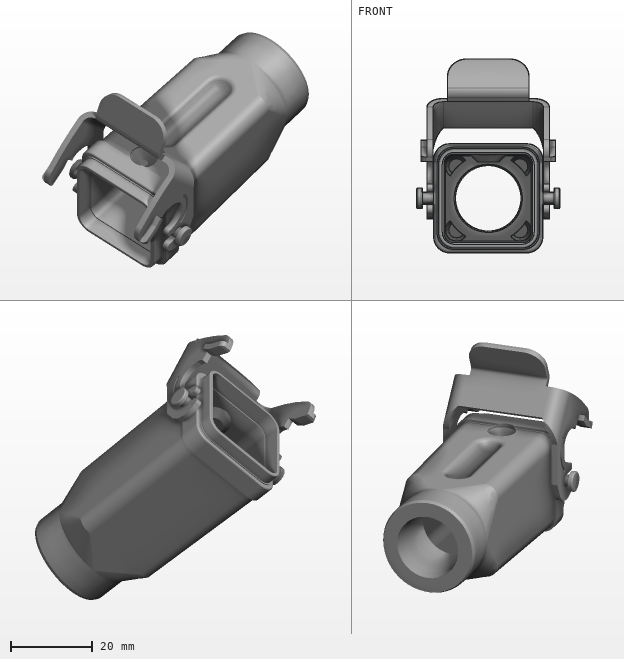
import math

import cadquery as cq


TONGUE_HALF = 12.2
TONGUE_RADIUS = 4.0
TONGUE_EDGE = 0.25
SEAT_FRONT_Y = 3.0
SEAT_HALF = 12.5
COLLAR_FRONT_Y = 3.25
COLLAR_REAR_Y = 8.3
COLLAR_HALF = 13.37
COLLAR_RADIUS = 4.0
COLLAR_ROUNDING = 0.45
LIP_HALF = 12.85
LIP_REAR_Y = 8.85
BODY_FRONT_HALF = 12.72
BODY_REAR_HALF = 12.18
BODY_RADIUS = 3.5
BODY_REAR_Y = 44.4
NECK_FRONT_Y = 51.74
NECK_REAR_Y = 60.4
BODY_TAPER = (BODY_FRONT_HALF - BODY_REAR_HALF) / (BODY_REAR_Y - LIP_REAR_Y)
NECK_FRONT_RADIUS = BODY_REAR_HALF - BODY_TAPER * (NECK_FRONT_Y - BODY_REAR_Y)
NECK_REAR_RADIUS = 12.05
NECK_ROUNDING_LENGTH = 0.85
NECK_ROUNDING_DEPTH = 0.4

MOUTH_HALF = 11.25
MOUTH_RADIUS = 3.0
MOUTH_DEPTH = 4.0
CAVITY_FRONT_HALF = 10.85
CAVITY_REAR_HALF = 10.4
CAVITY_RADIUS = 2.5
FLOOR_Y = 43.0
POCKET_INNER_RADIUS = 10.8
POCKET_DEPTH = 2.0
POCKET_INNER_SIDE = 5.1
POCKET_WALL_RUN = 0.8
BORE_RADIUS = 8.0
BORE_CHAMFER = 0.35

GROOVE_FRONT_Y = 19.9
GROOVE_REAR_Y = 40.07
GROOVE_EDGE_RADIUS = 4.3
GROOVE_WALL_RADIUS = 2.9
GROOVE_WALL_DEPTH = 0.8
GROOVE_EDGE_MIDDLE = (3.53, -0.2)
GROOVE_FLOOR_RADIUS = 2.45
GROOVE_FLOOR_DEPTH = 1.25
GROOVE_FLOOR_MIDDLE = (1.5, -1.88)
GROOVE_FLAT_HALF = 0.35
GROOVE_DEPTH = 2.1
GROOVE_OPENING = 0.5
BULGE_TOP_HALF = 4.5
BULGE_FLOOR_HALF = 2.6
BULGE_TOP_Z = 10.7
BULGE_FLOOR_Z = 8.9
DIMPLE_Y = 11.05
DIMPLE_RADIUS = 3.45
DIMPLE_RIM_DEPTH = 0.4
DIMPLE_FLOOR_RADIUS = 1.0
DIMPLE_DEPTH = 2.4

PIN_Y = 5.9
PIN_RADIUS = 1.5
PIN_HEAD_RADIUS = 2.55
PIN_HEAD_INNER_X = 16.1
PIN_END_X = 17.5
PIN_HEAD_ROUNDING = 0.35

SHEET = 1.5
LEVER_HALF = 15.0
LEVER_BEND_RADIUS = 4.0
LEVER_BACK_Y = 11.97
BEND_LOWER_Z = 11.47
BEND_UPPER = (3.8, 22.34)
BRIDGE_BOTTOM = (12.57, 17.37)
BRIDGE_TOP = (7.07, 24.44)
BRIDGE_BULGE = (12.68, 15.4)
BRIDGE_LEAN = math.degrees(
    math.atan2(BRIDGE_BOTTOM[0] - BRIDGE_TOP[0], BRIDGE_TOP[1] - BRIDGE_BOTTOM[1])
)
ARM_TOP_MIDDLE = (-1.55, 19.2)
ARM_TOP_END = (-7.75, 14.35)
ARM_TIP = (-8.95, 12.9)
ARM_TIP_END = (-8.77, 10.1)
WINDOW_CENTER = (3.17, 7.95)
WINDOW_RADIUS = 4.43
WINDOW_MOUTH = (-0.13, 11.29)
WINDOW_MOUTH_MIDDLE = (0.7, 12.0)
WINDOW_TOP_Y = 1.7
JAW_RADIUS = 5.05
JAW_BACK = (10.3, -2.45)
JAW_BACK_TOP_Z = 0.9
JAW_UPPER_Y = 3.0
JAW_UPPER_TIP = (2.05, 2.5)
JAW_LOWER_Y = 3.1
JAW_LOWER_TIP = (1.85, -2.5)
JAW_LOWER_END = (2.6, -3.83)

ARCH_TOP_HALF = LEVER_HALF - LEVER_BEND_RADIUS
ARCH_TOP = 0.93
ARCH_BEND_HALF = 12.4
ARCH_BEND = -1.12
ARCH_FOOT_HALF = 13.4
ARCH_FOOT = -4.0

ARC_GROOVE_RADIUS = 6.34
ARC_GROOVE_WIDTH = 0.8
ARC_GROOVE_DEPTH = 0.3
ARC_GROOVE_START = 37.0
ARC_GROOVE_END = -50.0

FLANGE_X = 16.5
FLANGE_CORNER = 1.2
FLANGE_LOWER_EDGE = [(-8.2, 8.98), (-7.45, 8.98), (-3.8, 10.95), (-1.7, 13.05)]
FLANGE_UPPER_EDGE = [(-2.5, 14.22), (-4.3, 12.5), ARM_TIP_END]

HANDLE_HALF = 10.0
HANDLE_CORNER = 4.8
HANDLE_ROOT_LENGTH = 3.0
HANDLE_LEAN = 25.0
HANDLE_TOP_Z = 34.1
HANDLE_BEND = (5.94, 25.93)
HANDLE_BEND_RADIUS = 0.8


def square_section(half, radius):
    return cq.Sketch().rect(2 * half, 2 * half).vertices().fillet(radius)


def square_frustum(front_y, front_half, front_radius, rear_y, rear_half, rear_radius):
    """Square block with rounded edges along Y that may taper from front to rear."""
    rear_offset = cq.Location(cq.Vector(0, 0, front_y - rear_y))
    return (
        cq.Workplane("XZ", origin=(0, front_y, 0))
        .placeSketch(
            square_section(front_half, front_radius),
            square_section(rear_half, rear_radius).moved(rear_offset),
        )
        .loft(ruled=True)
    )


def square_block(front_y, rear_y, half, radius):
    return (
        cq.Workplane("XZ", origin=(0, rear_y, 0))
        .placeSketch(square_section(half, radius))
        .extrude(rear_y - front_y)
    )


def mirrored(shape):
    """The shape together with its mirror image across the plane X = 0."""
    return shape.union(shape.mirror("YZ"))


def transition():
    """Solid that blends the square body into the round neck.

    Each flat narrows to a point on the neck circle, and a ruled surface joins each quarter
    of that circle to one rounded corner of the body.
    """
    half = BODY_REAR_HALF
    corner = half - BODY_RADIUS
    corner_mid = corner + BODY_RADIUS * math.sqrt(0.5)
    neck_mid = NECK_FRONT_RADIUS * math.sqrt(0.5)

    def turned(x, z, y, turns):
        for _ in range(turns):
            x, z = -z, x
        return cq.Vector(x, y, z)

    faces = []
    body_edges = []
    neck_edges = []
    for turns in range(4):
        side_start = turned(half, -corner, BODY_REAR_Y, turns)
        side_end = turned(half, corner, BODY_REAR_Y, turns)
        corner_middle = turned(corner_mid, corner_mid, BODY_REAR_Y, turns)
        corner_end = turned(corner, half, BODY_REAR_Y, turns)
        apex = turned(NECK_FRONT_RADIUS, 0, NECK_FRONT_Y, turns)
        neck_middle = turned(neck_mid, neck_mid, NECK_FRONT_Y, turns)
        next_apex = turned(0, NECK_FRONT_RADIUS, NECK_FRONT_Y, turns)

        body_arc = cq.Edge.makeThreePointArc(side_end, corner_middle, corner_end)
        neck_arc = cq.Edge.makeThreePointArc(apex, neck_middle, next_apex)
        body_edges += [cq.Edge.makeLine(side_start, side_end), body_arc]
        neck_edges.append(neck_arc)
        flat = cq.Wire.makePolygon([side_start, side_end, apex], close=True)
        faces += [cq.Face.makeFromWires(flat), cq.Face.makeRuledSurface(body_arc, neck_arc)]
    for edges in (body_edges, neck_edges):
        faces.append(cq.Face.makeFromWires(cq.Wire.assembleEdges(edges)))
    return cq.Workplane(cq.Solid.makeSolid(cq.Shell.makeShell(faces)))


def neck():
    shoulder_y = NECK_REAR_Y - NECK_ROUNDING_LENGTH
    return (
        cq.Workplane("XY")
        .moveTo(0, NECK_FRONT_Y)
        .lineTo(NECK_FRONT_RADIUS, NECK_FRONT_Y)
        .lineTo(NECK_REAR_RADIUS, shoulder_y)
        .lineTo(NECK_REAR_RADIUS - NECK_ROUNDING_DEPTH, NECK_REAR_Y)
        .lineTo(0, NECK_REAR_Y)
        .close()
        .revolve(360, (0, 0), (0, 1))
    )


def hood_outside():
    tongue = square_block(0, COLLAR_FRONT_Y, TONGUE_HALF, TONGUE_RADIUS)
    tongue = tongue.faces("<Y").edges().fillet(TONGUE_EDGE)
    seat = square_block(SEAT_FRONT_Y, COLLAR_FRONT_Y, SEAT_HALF, TONGUE_RADIUS)
    collar = square_block(COLLAR_FRONT_Y, COLLAR_REAR_Y, COLLAR_HALF, COLLAR_RADIUS)
    collar = collar.faces("<Y").edges().fillet(COLLAR_ROUNDING)
    lip = square_block(COLLAR_REAR_Y, LIP_REAR_Y, LIP_HALF, BODY_RADIUS)
    body = square_frustum(
        LIP_REAR_Y, BODY_FRONT_HALF, BODY_RADIUS, BODY_REAR_Y, BODY_REAR_HALF, BODY_RADIUS
    )
    hood_parts = tongue.union(seat).union(collar).union(lip)
    return hood_parts.union(body).union(transition()).union(neck())


def cavity():
    mouth = square_block(0, MOUTH_DEPTH, MOUTH_HALF, MOUTH_RADIUS)
    inner = square_frustum(
        MOUTH_DEPTH, CAVITY_FRONT_HALF, CAVITY_RADIUS, FLOOR_Y, CAVITY_REAR_HALF, CAVITY_RADIUS
    )
    return mouth.union(inner.cut(roof_bulge()))


def roof_bulge():
    """Thickening of the cavity roof below the groove, with a conical front below the dimple."""
    ridge = (
        cq.Workplane("XZ", origin=(0, FLOOR_Y, 0))
        .moveTo(-BULGE_TOP_HALF, BODY_REAR_HALF)
        .lineTo(-BULGE_TOP_HALF, BULGE_TOP_Z)
        .lineTo(-BULGE_FLOOR_HALF, BULGE_FLOOR_Z)
        .lineTo(BULGE_FLOOR_HALF, BULGE_FLOOR_Z)
        .lineTo(BULGE_TOP_HALF, BULGE_TOP_Z)
        .lineTo(BULGE_TOP_HALF, BODY_REAR_HALF)
        .close()
        .extrude(FLOOR_Y - DIMPLE_Y)
    )
    front = (
        cq.Workplane("XZ", origin=(0, DIMPLE_Y, 0))
        .moveTo(0, BULGE_FLOOR_Z)
        .lineTo(BULGE_FLOOR_HALF, BULGE_FLOOR_Z)
        .lineTo(BULGE_TOP_HALF, BULGE_TOP_Z)
        .lineTo(BULGE_TOP_HALF, BODY_REAR_HALF)
        .lineTo(0, BODY_REAR_HALF)
        .close()
        .revolve(360, (0, 0), (0, 1))
    )
    return ridge.union(front)


def corner_pockets():
    """Four tapered recesses in the corners of the cavity floor, outside a round rim."""
    def outline(inner, outer, radius):
        size = outer - inner
        center = (inner + outer) / 2
        square = cq.Sketch().rect(size, size).vertices().fillet(radius)
        return square.moved(cq.Location(cq.Vector(center, center, 0)))

    floor_offset = cq.Location(cq.Vector(0, 0, -POCKET_DEPTH))
    pocket = (
        cq.Workplane("XZ", origin=(0, FLOOR_Y, 0))
        .placeSketch(
            outline(POCKET_INNER_SIDE, CAVITY_REAR_HALF, CAVITY_RADIUS),
            outline(
                POCKET_INNER_SIDE + POCKET_WALL_RUN,
                CAVITY_REAR_HALF - POCKET_WALL_RUN,
                CAVITY_RADIUS - POCKET_WALL_RUN,
            ).moved(floor_offset),
        )
        .loft(ruled=True)
    )
    pockets = mirrored(pocket)
    pockets = pockets.union(pockets.mirror("XY"))
    rim = cq.Workplane("XZ", origin=(0, FLOOR_Y + POCKET_DEPTH, 0)).circle(POCKET_INNER_RADIUS)
    return pockets.cut(rim.extrude(POCKET_DEPTH))


def bore():
    return (
        cq.Workplane("XZ", origin=(0, NECK_REAR_Y, 0))
        .circle(BORE_RADIUS)
        .extrude(NECK_REAR_Y - FLOOR_Y)
        .faces("<Y")
        .workplane()
        .circle(BORE_RADIUS + BORE_CHAMFER)
        .workplane(offset=-BORE_CHAMFER)
        .circle(BORE_RADIUS)
        .loft(combine=True)
    )


def body_half_at(y):
    """Half the height of the tapered body at the given Y."""
    return BODY_FRONT_HALF - BODY_TAPER * (y - LIP_REAR_Y)


def groove_half_profile(y):
    """Half of the cross section of the groove, with its opening at Z = 0."""
    return (
        cq.Workplane("XZ", origin=(0, y, 0))
        .moveTo(0, GROOVE_OPENING)
        .lineTo(GROOVE_EDGE_RADIUS, GROOVE_OPENING)
        .lineTo(GROOVE_EDGE_RADIUS, 0)
        .threePointArc(GROOVE_EDGE_MIDDLE, (GROOVE_WALL_RADIUS, -GROOVE_WALL_DEPTH))
        .lineTo(GROOVE_FLOOR_RADIUS, -GROOVE_FLOOR_DEPTH)
        .threePointArc(GROOVE_FLOOR_MIDDLE, (GROOVE_FLAT_HALF, -GROOVE_DEPTH))
        .lineTo(0, -GROOVE_DEPTH)
        .close()
    )


def groove():
    """Round-ended trough, parallel to the tapered top face."""
    length = GROOVE_REAR_Y - GROOVE_FRONT_Y
    middle_y = (GROOVE_REAR_Y + GROOVE_FRONT_Y) / 2
    trough = mirrored(groove_half_profile(length / 2).extrude(length))
    end = groove_half_profile(length / 2).revolve(180, (0, 0), (0, 1))
    trough = trough.union(end).union(end.mirror("XZ"))
    tilt = math.degrees(math.atan(BODY_TAPER))
    trough = trough.rotate((0, 0, 0), (1, 0, 0), -tilt)
    return trough.translate((0, middle_y, body_half_at(middle_y)))


def dimple():
    """Conical recess with a short upright rim that meets the rear edge of the collar."""
    rim_z = body_half_at(DIMPLE_Y) - DIMPLE_RIM_DEPTH
    cone = (
        cq.Workplane("XY", origin=(0, DIMPLE_Y, rim_z))
        .circle(DIMPLE_RADIUS)
        .workplane(offset=DIMPLE_RIM_DEPTH - DIMPLE_DEPTH)
        .circle(DIMPLE_FLOOR_RADIUS)
        .loft(ruled=True)
    )
    rim = cq.Workplane("XY", origin=(0, DIMPLE_Y, rim_z)).circle(DIMPLE_RADIUS)
    return cone.union(rim.extrude(COLLAR_HALF - rim_z))


def pin():
    shank = cq.Workplane("YZ", origin=(MOUTH_HALF, PIN_Y, 0)).circle(PIN_RADIUS)
    head = cq.Workplane("YZ", origin=(PIN_HEAD_INNER_X, PIN_Y, 0)).circle(PIN_HEAD_RADIUS)
    head = head.extrude(PIN_END_X - PIN_HEAD_INNER_X).edges().fillet(PIN_HEAD_ROUNDING)
    return shank.extrude(PIN_END_X - PIN_HEAD_ROUNDING - MOUTH_HALF).union(head)


def lever_outline():
    """Side outline of the lever over its whole width, with window and open jaw."""
    window_y, window_z = WINDOW_CENTER
    outline = (
        cq.Workplane("YZ", origin=(-LEVER_HALF, 0, 0))
        .moveTo(*JAW_BACK)
        .lineTo(LEVER_BACK_Y, JAW_BACK_TOP_Z)
        .lineTo(LEVER_BACK_Y, BEND_LOWER_Z)
        .threePointArc(BRIDGE_BULGE, BRIDGE_BOTTOM)
        .lineTo(*BRIDGE_TOP)
        .lineTo(*BEND_UPPER)
        .threePointArc(ARM_TOP_MIDDLE, ARM_TOP_END)
        .threePointArc(ARM_TIP, ARM_TIP_END)
    )
    for point in FLANGE_LOWER_EDGE:
        outline = outline.lineTo(*point)
    return (
        outline.lineTo(*WINDOW_MOUTH)
        .threePointArc(WINDOW_MOUTH_MIDDLE, (WINDOW_TOP_Y, window_z + WINDOW_RADIUS))
        .lineTo(window_y, window_z + WINDOW_RADIUS)
        .threePointArc((window_y + WINDOW_RADIUS, window_z), (window_y, window_z - WINDOW_RADIUS))
        .threePointArc(JAW_UPPER_TIP, (JAW_UPPER_Y, PIN_RADIUS))
        .lineTo(PIN_Y, PIN_RADIUS)
        .threePointArc((PIN_Y + PIN_RADIUS, 0), (PIN_Y, -PIN_RADIUS))
        .lineTo(JAW_LOWER_Y, -PIN_RADIUS)
        .threePointArc(JAW_LOWER_TIP, JAW_LOWER_END)
        .threePointArc((PIN_Y, -JAW_RADIUS), JAW_BACK)
        .close()
        .extrude(2 * LEVER_HALF)
    )


def bent_sheet():
    """U-shaped sheet whose bridge leans back; the side outline is cut from it."""
    reach = 2 * BRIDGE_TOP[1]
    length = 4 * BRIDGE_TOP[1]

    def channel(half, top, radius):
        return (
            cq.Workplane("XY")
            .box(2 * half, reach, length)
            .edges("|Z and >Y")
            .fillet(radius)
            .translate((0, top - reach / 2, 0))
        )

    outside = channel(LEVER_HALF, 0, LEVER_BEND_RADIUS)
    inside = channel(LEVER_HALF - SHEET, -SHEET, LEVER_BEND_RADIUS - SHEET)
    arch = (
        cq.Workplane("XZ")
        .moveTo(-ARCH_FOOT_HALF, -length / 2)
        .lineTo(-ARCH_FOOT_HALF, ARCH_FOOT)
        .threePointArc((-ARCH_BEND_HALF, ARCH_BEND), (-ARCH_TOP_HALF, ARCH_TOP))
        .lineTo(ARCH_TOP_HALF, ARCH_TOP)
        .threePointArc((ARCH_BEND_HALF, ARCH_BEND), (ARCH_FOOT_HALF, ARCH_FOOT))
        .lineTo(ARCH_FOOT_HALF, -length / 2)
        .close()
        .extrude(LEVER_BEND_RADIUS)
    )
    sheet = outside.cut(inside).cut(arch).rotate((0, 0, 0), (1, 0, 0), BRIDGE_LEAN)
    return sheet.translate((0, *BRIDGE_BOTTOM))


def flange():
    """Edge strip of the lever arm, turned outward, with its outer end corner rounded."""
    tip_y, tip_z = FLANGE_LOWER_EDGE[0]
    end_corner = cq.selectors.NearestToPointSelector(
        (FLANGE_X, (tip_y + ARM_TIP_END[0]) / 2, (tip_z + ARM_TIP_END[1]) / 2)
    )
    return (
        cq.Workplane("YZ", origin=(LEVER_HALF - SHEET, 0, 0))
        .polyline(FLANGE_LOWER_EDGE + FLANGE_UPPER_EDGE)
        .close()
        .extrude(FLANGE_X - LEVER_HALF + SHEET)
        .edges(end_corner)
        .fillet(FLANGE_CORNER)
    )


def handle():
    """Finger tab that continues the bridge and bends upward."""
    def direction(lean):
        return cq.Vector(-math.sin(math.radians(lean)), math.cos(math.radians(lean)))

    bend = cq.Vector(*HANDLE_BEND)
    bridge_run = direction(BRIDGE_LEAN)
    tab_run = direction(-HANDLE_LEAN)
    bridge_side = cq.Vector(-bridge_run.y, bridge_run.x) * SHEET
    tab_side = cq.Vector(-tab_run.y, tab_run.x) * SHEET
    miter = (bridge_side + tab_side) / (1 + bridge_run.dot(tab_run))
    root = bend - bridge_run * HANDLE_ROOT_LENGTH
    tip = bend + tab_run * ((HANDLE_TOP_Z - bend.y - tab_side.y) / tab_run.y)
    corners = [root, bend, tip, tip + tab_side, bend + miter, root + bridge_side]
    tab = (
        cq.Workplane("YZ", origin=(-HANDLE_HALF, 0, 0))
        .polyline([(corner.x, corner.y) for corner in corners])
        .close()
        .extrude(2 * HANDLE_HALF)
    )
    inner_bend = cq.selectors.NearestToPointSelector((0, bend.x, bend.y))
    outer_bend = cq.selectors.NearestToPointSelector((0, (bend + miter).x, (bend + miter).y))
    tab = tab.edges("|X").edges(inner_bend).fillet(HANDLE_BEND_RADIUS)
    tab = tab.edges("|X").edges(outer_bend).fillet(HANDLE_BEND_RADIUS + SHEET)
    middle = tip + tab_side / 2
    for side in (-HANDLE_HALF, HANDLE_HALF):
        top_corner = cq.selectors.NearestToPointSelector((side, middle.x, middle.y))
        tab = tab.edges(top_corner).fillet(HANDLE_CORNER)
    return tab


def arc_groove():
    """Shallow curved groove in the outer face of a lever arm, concentric with the window."""
    def point(radius, angle):
        turn = math.radians(angle)
        center_y, center_z = WINDOW_CENTER
        return (center_y + radius * math.cos(turn), center_z + radius * math.sin(turn))

    inner = ARC_GROOVE_RADIUS - ARC_GROOVE_WIDTH / 2
    outer = ARC_GROOVE_RADIUS + ARC_GROOVE_WIDTH / 2
    middle = (ARC_GROOVE_START + ARC_GROOVE_END) / 2
    return (
        cq.Workplane("YZ", origin=(LEVER_HALF - ARC_GROOVE_DEPTH, 0, 0))
        .moveTo(*point(inner, ARC_GROOVE_START))
        .threePointArc(point(inner, middle), point(inner, ARC_GROOVE_END))
        .tangentArcPoint(point(outer, ARC_GROOVE_END), relative=False)
        .threePointArc(point(outer, middle), point(outer, ARC_GROOVE_START))
        .tangentArcPoint(point(inner, ARC_GROOVE_START), relative=False)
        .close()
        .extrude(ARC_GROOVE_DEPTH)
    )


def lever():
    frame = lever_outline().intersect(bent_sheet())
    return frame.union(mirrored(flange())).union(handle()).cut(mirrored(arc_groove()))


hood = hood_outside().union(mirrored(pin()))
hood = hood.cut(cavity()).cut(corner_pockets()).cut(bore()).cut(groove()).cut(dimple())
result = hood.union(lever())